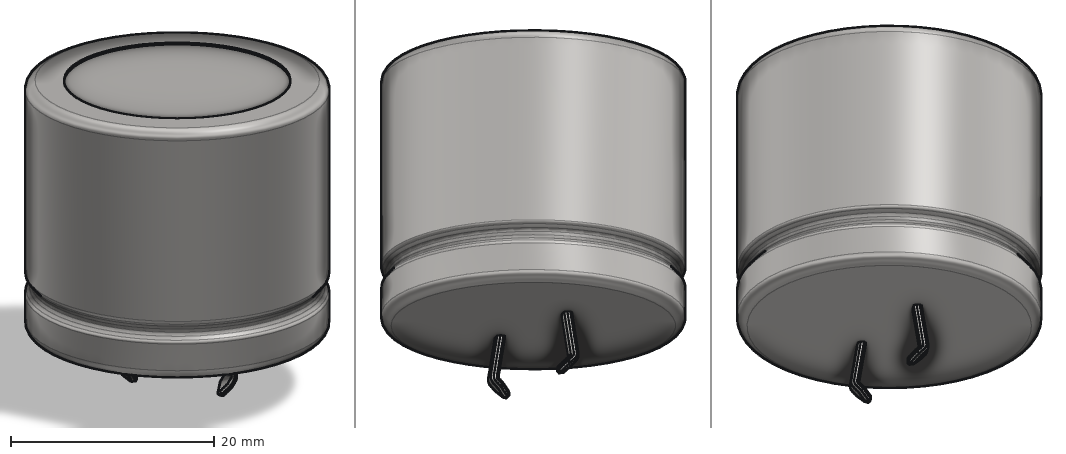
import cadquery as cq

CAN_DIAMETER = 29.99
CAN_HEIGHT = 26.0
RIM_RADIUS = 1.0
CAN_RADIUS = CAN_DIAMETER / 2

GROOVE_Z = 4.96
GROOVE_DEPTH = 0.6
GROOVE_FLOOR_HALF = 0.38
GROOVE_MOUTH_HALF = GROOVE_FLOOR_HALF + GROOVE_DEPTH
GROOVE_BLEND_RADIUS = 0.5

TOP_OPENING_DIAMETER = 22.29
TOP_RECESS_DEPTH = 0.2

PIN_PITCH = 10.15
PIN_WIDTH = 1.5
PIN_THICKNESS = 0.8
PIN_EDGE_CHAMFER = 0.25
PIN_SHANK_LENGTH = 4.27
PIN_EMBED = 1.0
PIN_BEND_RADIUS = 0.5
PIN_BEND_ANGLE = 53.0
PIN_TIP_LENGTH = 1.93
PIN_TIP_SHOULDER = 0.75
PIN_TIP_WIDTH = 0.55
PIN_LEAN = 9.0
PIN_TURN = -25.0


def make_can():
    """Cylinder with rounded rims, a rolled groove and a shallow recess in the top."""
    can = cq.Workplane("XY").circle(CAN_RADIUS).extrude(CAN_HEIGHT)
    can = can.edges().fillet(RIM_RADIUS)
    recess = (
        cq.Workplane("XY")
        .workplane(offset=CAN_HEIGHT - TOP_RECESS_DEPTH)
        .circle(TOP_OPENING_DIAMETER / 2)
        .extrude(TOP_RECESS_DEPTH)
    )
    return cut_groove(can).cut(recess)


def cut_groove(can):
    """Cut the groove and blend its mouth and floor edges."""
    floor_radius = CAN_RADIUS - GROOVE_DEPTH
    ring = (
        cq.Workplane("XZ")
        .moveTo(CAN_RADIUS, GROOVE_Z - GROOVE_MOUTH_HALF)
        .lineTo(floor_radius, GROOVE_Z - GROOVE_FLOOR_HALF)
        .lineTo(floor_radius, GROOVE_Z + GROOVE_FLOOR_HALF)
        .lineTo(CAN_RADIUS, GROOVE_Z + GROOVE_MOUTH_HALF)
        .close()
        .revolve(360, (0, 0, 0), (0, 1, 0))
    )
    reach = GROOVE_MOUTH_HALF + GROOVE_FLOOR_HALF
    groove_zone = cq.selectors.BoxSelector(
        (-CAN_DIAMETER, -CAN_DIAMETER, GROOVE_Z - reach),
        (CAN_DIAMETER, CAN_DIAMETER, GROOVE_Z + reach),
    )
    grooved = can.cut(ring)
    return grooved.edges(groove_zone).edges("%CIRCLE").fillet(GROOVE_BLEND_RADIUS)


def pin_section(z):
    """Bar cross-section with chamfered corners, drawn at height z."""
    outer_x = PIN_WIDTH / 2
    outer_y = PIN_THICKNESS / 2
    inner_x = outer_x - PIN_EDGE_CHAMFER
    inner_y = outer_y - PIN_EDGE_CHAMFER
    return (
        cq.Workplane("XY", origin=(0, 0, z))
        .polyline([
            (-inner_x, -outer_y), (inner_x, -outer_y),
            (outer_x, -inner_y), (outer_x, inner_y),
            (inner_x, outer_y), (-inner_x, outer_y),
            (-outer_x, inner_y), (-outer_x, -inner_y),
        ])
        .close()
    )


def make_pin_tip():
    """Tapered end of the pin, hanging down from Z = 0, chamfered all round but its top."""
    half_width = PIN_WIDTH / 2
    half_tip = PIN_TIP_WIDTH / 2
    return (
        cq.Workplane("XZ")
        .moveTo(-half_width, 0)
        .lineTo(half_width, 0)
        .lineTo(half_width, -PIN_TIP_SHOULDER)
        .lineTo(half_tip, -PIN_TIP_LENGTH)
        .lineTo(-half_tip, -PIN_TIP_LENGTH)
        .lineTo(-half_width, -PIN_TIP_SHOULDER)
        .close()
        .extrude(PIN_THICKNESS / 2, both=True)
        .edges("#Y and (not >Z)")
        .chamfer(PIN_EDGE_CHAMFER)
    )


def make_pin():
    """Pin rooted at the origin: the shank leans towards -Y, then the tip bends back to +Y."""
    shank = pin_section(-PIN_SHANK_LENGTH).extrude(PIN_SHANK_LENGTH + PIN_EMBED)
    bend = pin_section(-PIN_SHANK_LENGTH).revolve(
        PIN_BEND_ANGLE, (0, PIN_BEND_RADIUS, 0), (1, PIN_BEND_RADIUS, 0)
    )
    tip = (
        make_pin_tip()
        .translate((0, 0, -PIN_SHANK_LENGTH))
        .rotate(
            (0, PIN_BEND_RADIUS, -PIN_SHANK_LENGTH),
            (1, PIN_BEND_RADIUS, -PIN_SHANK_LENGTH),
            PIN_BEND_ANGLE,
        )
    )
    pin = shank.union(bend).union(tip)
    return pin.rotate((0, 0, 0), (1, 0, 0), -PIN_LEAN)


def make_pin_pair():
    """Two pins half a turn apart, so they lean in opposite directions."""
    left_pin = make_pin().rotate((0, 0, 0), (0, 0, 1), PIN_TURN)
    left_pin = left_pin.translate((-PIN_PITCH / 2, 0, 0))
    right_pin = left_pin.rotate((0, 0, 0), (0, 0, 1), 180)
    return left_pin.union(right_pin)


result = make_can().union(make_pin_pair())